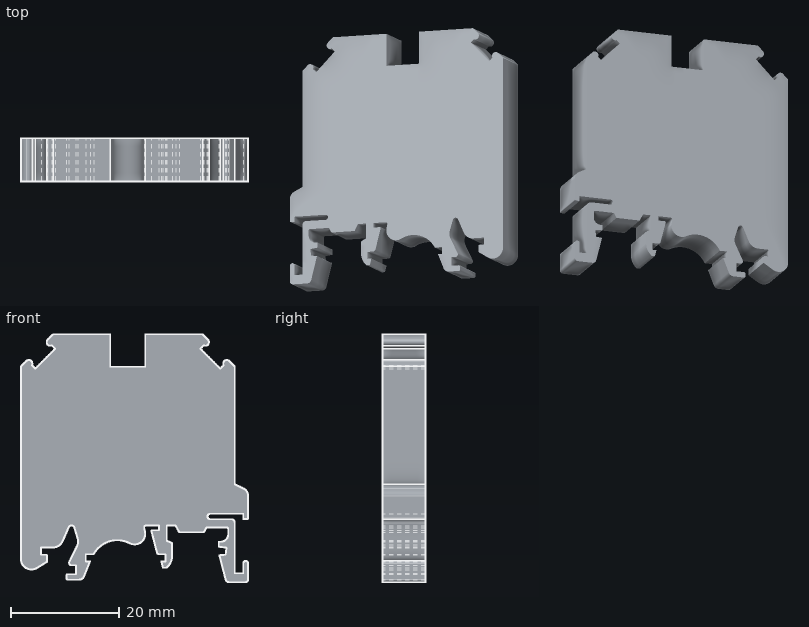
import cadquery as cq
import math


thickness = 8.0
total_width = 41.95
total_height = 45.8
body_width = 39.47
body_center = body_width / 2

slot_width = 6.4
slot_depth = 6.0

corner_chamfer = 5.95
notch_floor_length = 5.16
notch_depth = 2.18
hook_radius = 0.68
hook_spacing = 5.58

ceiling_z = 10.5
latch_ceiling_z = 10.14
latch_arm_top_z = 11.7
rail_seat_z = 5.17
rail_lip_z = 3.88
side_post_width = 0.95
post_left_x = total_width - side_post_width
round_end_ratio = 0.49


def fillet_points(before, corner, after):
    """Start, middle and end of the arc rounding a corner given as (x, z, radius)."""
    x, z, radius = corner
    in_angle = math.atan2(before[1] - z, before[0] - x)
    out_angle = math.atan2(after[1] - z, after[0] - x)
    half_angle = math.acos(math.cos(in_angle - out_angle)) / 2
    setback = radius / math.tan(half_angle)
    mid_distance = radius / math.sin(half_angle) - radius
    bisector = math.atan2(
        math.sin(in_angle) + math.sin(out_angle),
        math.cos(in_angle) + math.cos(out_angle),
    )

    def polar(angle, distance):
        return (x + distance * math.cos(angle), z + distance * math.sin(angle))

    return polar(in_angle, setback), polar(bisector, mid_distance), polar(out_angle, setback)


def rounded_profile(corners):
    """Closed wire through (x, z, radius) corners; radius 0 keeps a corner sharp.

    The first corner must be sharp.
    """
    path = cq.Workplane("XZ").moveTo(corners[0][0], corners[0][1])
    for i in range(1, len(corners)):
        corner = corners[i]
        if corner[2] == 0:
            path = path.lineTo(corner[0], corner[1])
            continue
        start, middle, end = fillet_points(corners[i - 1], corner, corners[(i + 1) % len(corners)])
        path = path.lineTo(*start).threePointArc(middle, end)
    return path.close()


def left_foot():
    """Fixed foot at the left wall, with a step that hooks under the rail."""
    foot_width = 4.84
    foot_slope = math.radians(32)
    sole_corner_z = 0.78
    sole_radius = 1.98
    step_x = 3.74
    step_top_z = 6.43
    lip_top_z = 5.15
    lip_radius = 0.25
    sweep_x, sweep_radius = 7.22, 2.0
    outer_z = sole_corner_z + foot_width * math.tan(foot_slope)
    return [
        (0, sole_corner_z, sole_radius),
        (foot_width, outer_z, 0),
        (foot_width, lip_top_z, lip_radius),
        (step_x, lip_top_z, 0),
        (step_x, step_top_z, 0),
        (sweep_x, step_top_z, sweep_radius),
    ]


def left_clip():
    """Springy leg right of the flex slit, with a tool notch and a rail hook."""
    slit_left_x = 9.0
    slit_right_x = 9.74
    slit_radius = 0.5
    waist_x, waist_z, waist_radius = 10.69, 7.42, 2.0
    knee_x, knee_radius = 8.61, 0.47
    notch_x = 10.14
    notch_top_z = 3.15
    notch_bottom_z = 1.56
    toe_x, toe_z, toe_radius = 8.42, 0.5, 0.28
    heel_x, heel_radius = 11.43, 1.0
    hook_tip_x = 12.79
    hook_root_x = 12.01
    return [
        (slit_left_x, ceiling_z, slit_radius),
        (slit_right_x, ceiling_z, slit_radius),
        (waist_x, waist_z, waist_radius),
        (knee_x, notch_top_z, knee_radius),
        (notch_x, notch_top_z, 0),
        (notch_x, notch_bottom_z, 0),
        (toe_x, notch_bottom_z, toe_radius),
        (toe_x, toe_z, toe_radius),
        (heel_x, toe_z, heel_radius),
        (hook_tip_x, rail_lip_z, 0),
        (hook_root_x, rail_lip_z, 0),
        (hook_root_x, rail_seat_z, 0),
    ]


def arch_and_lobe():
    """Arch over the rail flowing tangentially into a round lobe beside the middle clip."""
    arch_x, arch_z, arch_radius = 17.78, 2.8, 4.95
    lobe_x, lobe_z, lobe_radius = 21.0, 9.0, 1.97
    neck_x, neck_radius = 22.7, 0.35
    neck_start_z = lobe_z + 0.1

    arch_start_angle = math.pi - math.asin((rail_seat_z - arch_z) / arch_radius)
    blend_angle = math.atan2(lobe_z - arch_z, lobe_x - arch_x)
    arch_half = (arch_start_angle - blend_angle) / 2
    arch_middle = (arch_start_angle + blend_angle) / 2
    arch_reach = arch_radius / math.cos(arch_half)
    lobe_half = (math.pi - blend_angle) / 2
    lobe_reach = lobe_radius / math.cos(lobe_half)
    return [
        (arch_x + arch_radius * math.cos(arch_start_angle), rail_seat_z, 0),
        (
            arch_x + arch_reach * math.cos(arch_middle),
            arch_z + arch_reach * math.sin(arch_middle),
            arch_radius,
        ),
        (
            lobe_x + lobe_reach * math.cos(lobe_half),
            lobe_z - lobe_reach * math.sin(lobe_half),
            lobe_radius,
        ),
        (lobe_x + lobe_radius, neck_start_z, 0),
        (neck_x, ceiling_z, neck_radius),
    ]


def middle_clip():
    """Hanging clip with a pointed rail hook."""
    stem_left_x = 25.48
    stem_right_x = 26.96
    shoulder_x, shoulder_z, shoulder_radius = 24.02, 9.67, 0.2
    seat_corner_x, seat_corner_radius = 25.19, 0.5
    hook_root_x = 26.68
    hook_tip_x = 25.9
    point_left_x, point_right_x, point_z = 26.2, 26.83, 2.68
    back_x, back_corner_z, back_radius = 27.93, 3.52, 2.75
    hump_z, hump_radius = 7.25, 0.3
    hump_start_z = 7.72
    return [
        (stem_left_x, ceiling_z, 0),
        (stem_left_x, shoulder_z, 0),
        (shoulder_x, shoulder_z, shoulder_radius),
        (seat_corner_x, rail_seat_z, seat_corner_radius),
        (hook_root_x, rail_seat_z, 0),
        (hook_root_x, rail_lip_z, 0),
        (hook_tip_x, rail_lip_z, 0),
        (point_left_x, point_z, 0),
        (point_right_x, point_z, 0),
        (back_x, back_corner_z, back_radius),
        (back_x, hump_z, hump_radius),
        (stem_right_x, hump_start_z, 0),
        (stem_right_x, ceiling_z, 0),
    ]


def underside_pad():
    """Tapered pad between the middle clip and the latch."""
    pad_z = 9.24
    root_left_x, root_right_x = 28.55, 34.27
    pad_left_x, pad_right_x = 29.2, 33.77
    return [
        (root_left_x, ceiling_z, 0),
        (pad_left_x, pad_z, 0),
        (pad_right_x, pad_z, 0),
        (root_right_x, latch_ceiling_z, 0),
    ]


def latch():
    """Long latch leg at the right, with a rail catch and an upturned release lip."""
    leg_left_x = 38.24
    top_radius = 0.25
    catch_x, catch_top_z, catch_bottom_z = 36.5, 7.53, 6.58
    catch_radius = 1.35
    pocket_top_x, pocket_top_z = 37.93, 6.4
    pocket_bottom_x, pocket_bottom_z = 37.75, 5.15
    ramp_x, ramp_z, ramp_radius = 36.6, 5.05, 0.1
    sole_left_x, sole_left_radius = 37.9, 0.8
    sole_right_radius = 0.6
    lip_top_z = 3.98
    well_floor_z = 1.72
    arm_radius = 0.65
    lip_radius = round_end_ratio * side_post_width
    return [
        (leg_left_x, latch_ceiling_z, top_radius),
        (leg_left_x, catch_top_z, catch_radius),
        (catch_x, catch_top_z, 0),
        (catch_x, catch_bottom_z, 0),
        (pocket_top_x, pocket_top_z, 0),
        (pocket_bottom_x, pocket_bottom_z, 0),
        (ramp_x, ramp_z, ramp_radius),
        (sole_left_x, 0, sole_left_radius),
        (total_width, 0, sole_right_radius),
        (total_width, lip_top_z, lip_radius),
        (post_left_x, lip_top_z, lip_radius),
        (post_left_x, well_floor_z, 0),
        (body_width, well_floor_z, 0),
        (body_width, latch_arm_top_z, arm_radius),
    ]


def right_shoulder():
    """Slit above the latch arm and the overhanging shoulder on the right wall."""
    slit_end_x = 34.45
    slit_top_z = 12.64
    slit_radius = round_end_ratio * (slit_top_z - latch_arm_top_z)
    lip_radius = 0.2
    shoulder_z, shoulder_radius = 16.93, 1.5
    wall_z = 18.14
    return [
        (slit_end_x, latch_arm_top_z, slit_radius),
        (slit_end_x, slit_top_z, slit_radius),
        (post_left_x, slit_top_z, 0),
        (post_left_x, latch_arm_top_z, 0),
        (total_width, latch_arm_top_z, lip_radius),
        (total_width, shoulder_z, shoulder_radius),
        (body_width, wall_z, 0),
    ]


def top_edge():
    """Chamfered top with the central slot, from right to left."""
    slot_left = body_center - slot_width / 2
    slot_right = body_center + slot_width / 2
    slot_floor = total_height - slot_depth
    return [
        (body_width, total_height - corner_chamfer, 0),
        (body_width - corner_chamfer, total_height, 0),
        (slot_right, total_height, 0),
        (slot_right, slot_floor, 0),
        (slot_left, slot_floor, 0),
        (slot_left, total_height, 0),
        (corner_chamfer, total_height, 0),
    ]


def extrude_centered(profile):
    return profile.extrude(thickness / 2, both=True)


def marker_notch():
    """Cutter for the left notch: drawn flat with its mouth at Z = 0, then set on the chamfer."""
    half_floor = notch_floor_length / 2
    half_spacing = hook_spacing / 2
    lip_tip = half_spacing - hook_radius
    lip_end_z = -hook_radius - math.sqrt(hook_radius**2 - (half_spacing - half_floor) ** 2)
    cutter = extrude_centered(
        cq.Workplane("XZ")
        .moveTo(-half_spacing, 0)
        .threePointArc((-lip_tip, -hook_radius), (-half_floor, lip_end_z))
        .lineTo(-half_floor, -notch_depth)
        .lineTo(half_floor, -notch_depth)
        .lineTo(half_floor, lip_end_z)
        .threePointArc((lip_tip, -hook_radius), (half_spacing, 0))
        .close()
    )
    half_chamfer = corner_chamfer / 2
    return cutter.rotate((0, 0, 0), (0, 1, 0), -45).translate(
        (half_chamfer, 0, total_height - half_chamfer)
    )


def block():
    left_wall_top = [(0, total_height - corner_chamfer, 0)]
    corners = (
        left_wall_top
        + left_foot()
        + left_clip()
        + arch_and_lobe()
        + middle_clip()
        + underside_pad()
        + latch()
        + right_shoulder()
        + top_edge()
    )
    return extrude_centered(rounded_profile(corners))


left_notch = marker_notch()
right_notch = left_notch.mirror("YZ", (body_center, 0, 0))
result = block().cut(left_notch).cut(right_notch)